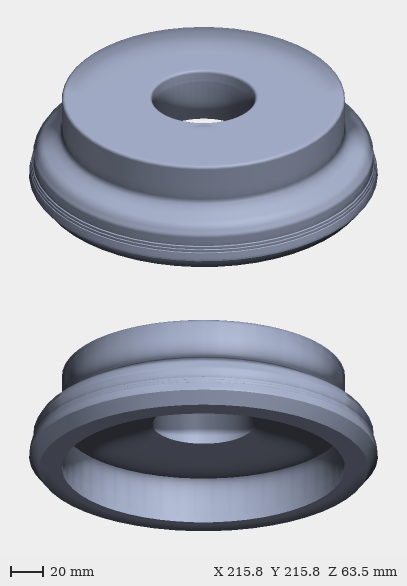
import cadquery as cq
import math

outer_radius = 107.9
total_height = 63.5

hub_radius = 87.5
hub_edge_radius = 2.2
neck_radius = 3.5
neck_start_z = 40.1

upper_slope = math.radians(30)
lower_slope = math.radians(60)
shoulder_radius = 10.4
band_edge_radius = 3.9
band_edge_z = 24.8
band_radius = 105.3

rim_top_z = 17.0
step_count = 3
step_drop = 2.0
step_edge_radius = 0.5
rim_step_radius = 106.1
rim_step_width = 0.55
wall_break_radius = 107.7
wall_break_z = 10.1
wall_bottom_z = 8.6
land_bottom_z = 7.5
base_radius = 101.8

bore_radius = 31.5
bore_floor_z = 29.3
cavity_radius = hub_radius

insert_radius = 37.3
insert_depth = 12.3
insert_bottom_z = total_height - insert_depth
mouth_edge_radius = 2.2
lead_in_radius = 32.0
lead_in_depth = 7.5
lead_in_bottom_z = total_height - lead_in_depth

QUARTER_TURN = math.pi / 2


def polar_point(center, radius, angle):
    """Point at a distance and angle from a center in the (r, z) half-plane."""
    return (center[0] + radius * math.cos(angle), center[1] + radius * math.sin(angle))


def add_arc(outline, center, radius, start_angle, end_angle):
    """Draw a line to the start of an arc, then the arc itself."""
    start = polar_point(center, radius, start_angle)
    middle = polar_point(center, radius, (start_angle + end_angle) / 2)
    end = polar_point(center, radius, end_angle)
    return outline.lineTo(*start).threePointArc(middle, end)


def revolve(outline):
    """Close an (r, z) outline and turn it about the Z axis."""
    return outline.close().revolve(360, (0, 0, 0), (0, 1, 0))


def add_hub(outline):
    """Flat top and rounded top edge of the hub."""
    edge_center = (hub_radius - hub_edge_radius, total_height - hub_edge_radius)
    return add_arc(outline, edge_center, hub_edge_radius, QUARTER_TURN, 0)


def add_shoulder(outline):
    """Hub wall, neck fillet, upper cone, shoulder arc, lower cone and band edge, all tangent."""
    upper_normal = QUARTER_TURN - upper_slope
    lower_normal = QUARTER_TURN - lower_slope

    neck_center = (hub_radius + neck_radius, neck_start_z)
    neck_end_angle = math.pi + upper_normal
    neck_end = polar_point(neck_center, neck_radius, neck_end_angle)

    band_edge_center = (
        band_radius - band_edge_radius,
        band_edge_z - band_edge_radius * math.sin(lower_normal),
    )
    lower_cone_end = polar_point(band_edge_center, band_edge_radius, lower_normal)

    upper_rate = math.tan(upper_slope)
    lower_rate = math.tan(lower_slope)
    corner_r = (
        lower_cone_end[1] + lower_rate * lower_cone_end[0] - neck_end[1] - upper_rate * neck_end[0]
    ) / (lower_rate - upper_rate)
    corner = (corner_r, neck_end[1] - upper_rate * (corner_r - neck_end[0]))

    half_bend = (lower_slope - upper_slope) / 2
    inward_angle = math.pi + (upper_normal + lower_normal) / 2
    shoulder_center = polar_point(corner, shoulder_radius / math.cos(half_bend), inward_angle)

    outline = add_arc(outline, neck_center, neck_radius, math.pi, neck_end_angle)
    outline = add_arc(outline, shoulder_center, shoulder_radius, upper_normal, lower_normal)
    outline = add_arc(outline, band_edge_center, band_edge_radius, lower_normal, 0)
    return outline.lineTo(band_radius, rim_top_z)


def add_rim(outline):
    """Rounded steps, tapered wall, narrow land and conical underside."""
    for step in range(step_count):
        step_top_z = rim_top_z - step * step_drop
        step_radius = rim_step_radius + step * rim_step_width
        edge_center = (step_radius - step_edge_radius, step_top_z - step_edge_radius)
        outline = add_arc(outline, edge_center, step_edge_radius, QUARTER_TURN, 0)
        if step < step_count - 1:
            outline = outline.lineTo(step_radius, step_top_z - step_drop)
    outline = outline.lineTo(wall_break_radius, wall_break_z)
    outline = outline.lineTo(outer_radius, wall_bottom_z)
    outline = outline.lineTo(outer_radius, land_bottom_z)
    return outline.lineTo(base_radius, 0)


def make_cup():
    outline = cq.Workplane("XZ").moveTo(insert_radius, total_height)
    outline = add_hub(outline)
    outline = add_shoulder(outline)
    outline = add_rim(outline)
    outline = outline.lineTo(cavity_radius, 0).lineTo(cavity_radius, bore_floor_z)
    outline = outline.lineTo(bore_radius, bore_floor_z).lineTo(bore_radius, insert_bottom_z)
    outline = outline.lineTo(insert_radius, insert_bottom_z)
    return revolve(outline)


def make_insert():
    mouth_center = (lead_in_radius + mouth_edge_radius, total_height - mouth_edge_radius)
    outline = cq.Workplane("XZ").moveTo(insert_radius, total_height)
    outline = add_arc(outline, mouth_center, mouth_edge_radius, QUARTER_TURN, math.pi)
    outline = outline.lineTo(bore_radius, lead_in_bottom_z).lineTo(bore_radius, insert_bottom_z)
    outline = outline.lineTo(insert_radius, insert_bottom_z)
    return revolve(outline)


cup = make_cup()
insert = make_insert()

result = cq.Compound.makeCompound([cup.val(), insert.val()])